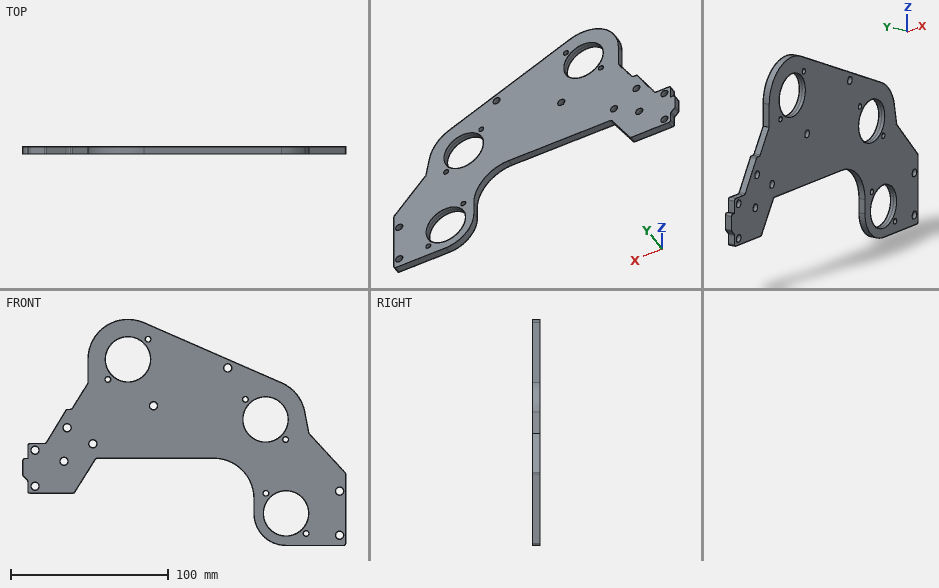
import cadquery as cq
import math


plate_length = 204.76
plate_height = 143.44
plate_thickness = 4.76

motor_bore_diameter = 28.6
motor_screw_diameter = 3.45
motor_screw_offset = 12.75
bolt_diameter = 5.0

shoulder_radius = 25.4
foot_radius = 20.4
corner_radius = 1.4

upper_motor_x = 66.7
middle_motor_offset = 87.2
middle_motor_drop = 38.1
lower_motor_offset = 100.2
upper_motor = (upper_motor_x, plate_height - shoulder_radius)
middle_motor = (upper_motor_x + middle_motor_offset, upper_motor[1] - middle_motor_drop)
lower_motor = (upper_motor_x + lower_motor_offset, foot_radius)

arm_angle = math.radians(58.0)
arm_bottom = 33.15
arm_top = 64.7
arm_left = 3.175
arm_bottom_length = 29.4
arm_top_length = 11.4
arm_step = (27.75, 86.4)
arm_step_length = 3.25
tab_bottom = 44.3
tab_top = 55.25
belly_height = 55.3

neck = (181.45, 71.1)
right_edge_top = 45.8

end_bolt_x = 7.8
end_bolt_low = 37.6
end_bolt_pitch = 22.86
right_bolt_x = 200.85
right_bolt_low = 6.55
right_bolt_pitch = 27.94
arm_bolts = [(28.1, 74.7), (44.45, 64.5), (26.15, 53.4)]
body_bolts = [(82.9, 88.6), (129.95, 112.6)]


def point_along(start, angle, distance):
    """Point at a distance from start in the direction of angle."""
    return (start[0] + distance * math.cos(angle), start[1] + distance * math.sin(angle))


def line_crossing(point_1, angle_1, point_2, angle_2):
    """Crossing point of two lines, each given by a point and a direction."""
    dx = point_2[0] - point_1[0]
    dz = point_2[1] - point_1[1]
    distance = (dx * math.sin(angle_2) - dz * math.cos(angle_2)) / math.sin(angle_2 - angle_1)
    return point_along(point_1, angle_1, distance)


def direction(start, end):
    """Angle of the line from start to end."""
    return math.atan2(end[1] - start[1], end[0] - start[0])


def outline_corners():
    """Corners of the profile as (point, rounding radius), clockwise from the tab."""
    top_angle = direction(upper_motor, middle_motor)
    top_touch = point_along(upper_motor, top_angle + math.pi / 2, shoulder_radius)
    left_side = upper_motor_x - shoulder_radius
    upper_corner = line_crossing((left_side, 0), math.pi / 2, top_touch, top_angle)

    neck_to_motor = direction(neck, middle_motor)
    neck_angle = neck_to_motor - math.asin(shoulder_radius / math.dist(neck, middle_motor))
    middle_corner = line_crossing(top_touch, top_angle, neck, neck_angle)

    step_inner = (arm_step[0] + arm_step_length, arm_step[1])
    arm_meets_side = line_crossing(step_inner, arm_angle, (left_side, 0), math.pi / 2)
    arm_bottom_corner = (arm_left + arm_bottom_length, arm_bottom)
    arm_meets_belly = line_crossing(arm_bottom_corner, arm_angle, (0, belly_height), 0)
    foot_left = lower_motor[0] - foot_radius

    return [
        ((0, tab_bottom), corner_radius),
        ((0, tab_top), corner_radius),
        ((arm_left, tab_top), 0),
        ((arm_left, arm_top), corner_radius),
        ((arm_left + arm_top_length, arm_top), corner_radius),
        (arm_step, corner_radius),
        (step_inner, corner_radius),
        (arm_meets_side, 0),
        (upper_corner, shoulder_radius),
        (middle_corner, shoulder_radius),
        (neck, 0),
        ((plate_length, right_edge_top), corner_radius),
        ((plate_length, 0), corner_radius),
        ((foot_left, 0), foot_radius),
        ((foot_left, belly_height), shoulder_radius),
        (arm_meets_belly, corner_radius),
        (arm_bottom_corner, corner_radius),
        ((arm_left, arm_bottom), corner_radius),
        ((arm_left, tab_bottom - arm_left), corner_radius),
    ]


def corner_arc(previous, corner, following, radius):
    """Start, middle and end of the arc that rounds a corner."""
    angle_in = direction(corner, previous)
    angle_out = direction(corner, following)
    half_angle = math.remainder(angle_out - angle_in, 2 * math.pi) / 2
    tangent_length = radius / abs(math.tan(half_angle))
    middle_distance = radius / abs(math.sin(half_angle)) - radius
    return (
        point_along(corner, angle_in, tangent_length),
        point_along(corner, angle_in + half_angle, middle_distance),
        point_along(corner, angle_out, tangent_length),
    )


def make_blank():
    """Plate without holes, centred on Y = 0."""
    corners = outline_corners()
    points = [point for point, _ in corners]
    first_arc = corner_arc(points[-1], points[0], points[1], corners[0][1])
    profile = cq.Workplane("XZ").moveTo(*first_arc[0])
    for index, (point, radius) in enumerate(corners):
        if radius == 0:
            profile = profile.lineTo(*point)
            continue
        following = points[(index + 1) % len(points)]
        start, middle, end = corner_arc(points[index - 1], point, following, radius)
        if index > 0:
            profile = profile.lineTo(*start)
        profile = profile.threePointArc(middle, end)
    return profile.close().extrude(plate_thickness / 2, both=True)


def drill(plate, centres, diameter):
    """Cut round holes through the plate along Y."""
    pins = (
        cq.Workplane("XZ")
        .pushPoints(centres)
        .circle(diameter / 2)
        .extrude(plate_thickness, both=True)
    )
    return plate.cut(pins)


def cut_motor_mount(plate, centre, screw_slope):
    """Cut a motor bore and its two screw holes, on a diagonal rising (+1) or falling (-1)."""
    screws = [
        (centre[0] + side * motor_screw_offset, centre[1] + side * screw_slope * motor_screw_offset)
        for side in (-1, 1)
    ]
    plate = drill(plate, [centre], motor_bore_diameter)
    return drill(plate, screws, motor_screw_diameter)


def bolt_centres():
    """Centres of all the bolt holes."""
    end_bolts = [(end_bolt_x, end_bolt_low + row * end_bolt_pitch) for row in range(2)]
    right_bolts = [(right_bolt_x, right_bolt_low + row * right_bolt_pitch) for row in range(2)]
    return end_bolts + right_bolts + arm_bolts + body_bolts


result = make_blank()
result = cut_motor_mount(result, upper_motor, 1)
result = cut_motor_mount(result, middle_motor, -1)
result = cut_motor_mount(result, lower_motor, -1)
result = drill(result, bolt_centres(), bolt_diameter)